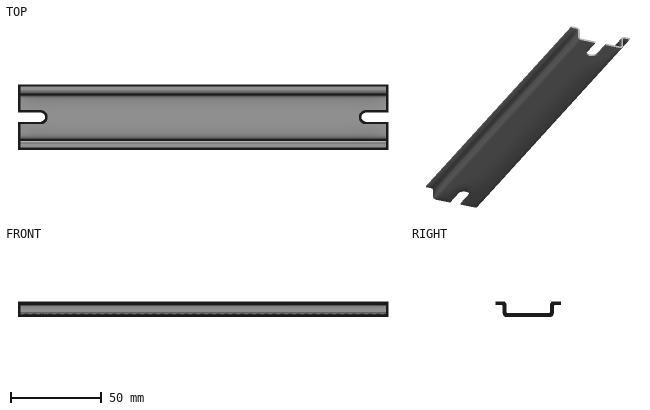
import cadquery as cq

length = 203.0
width = 35.0
height = 7.5
thickness = 1.0

channel_width = 27.0
inner_bend = 0.8
outer_bend = inner_bend + thickness

slot_depth = 15.0
slot_width = 6.3


def make_rail():
    """Extrude the bent-sheet hat section along X, open side up."""
    half_flange = width / 2
    half_outer = channel_width / 2
    half_inner = half_outer - thickness
    section = (
        cq.Workplane("YZ")
        .moveTo(-half_flange, height)
        .lineTo(-half_inner, height)
        .lineTo(-half_inner, thickness)
        .lineTo(half_inner, thickness)
        .lineTo(half_inner, height)
        .lineTo(half_flange, height)
        .lineTo(half_flange, height - thickness)
        .lineTo(half_outer, height - thickness)
        .lineTo(half_outer, 0)
        .lineTo(-half_outer, 0)
        .lineTo(-half_outer, height - thickness)
        .lineTo(-half_flange, height - thickness)
        .close()
    )
    rail = section.extrude(length / 2, both=True)

    inside_corners = [(half_inner, thickness), (half_outer, height - thickness)]
    outside_corners = [(half_outer, 0), (half_inner, height)]
    for corners, radius in ((inside_corners, inner_bend), (outside_corners, outer_bend)):
        for y, z in corners:
            for side in (-1, 1):
                edge = cq.selectors.NearestToPointSelector((0, side * y, z))
                rail = rail.edges("|X").edges(edge).fillet(radius)
    return rail


def make_end_slot(side):
    """Round-bottomed slot reaching in from one end; side is -1 or 1."""
    return (
        cq.Workplane("XY")
        .center(side * length / 2, 0)
        .slot2D(2 * slot_depth, slot_width)
        .extrude(thickness)
    )


result = make_rail()
for end in (-1, 1):
    result = result.cut(make_end_slot(end))